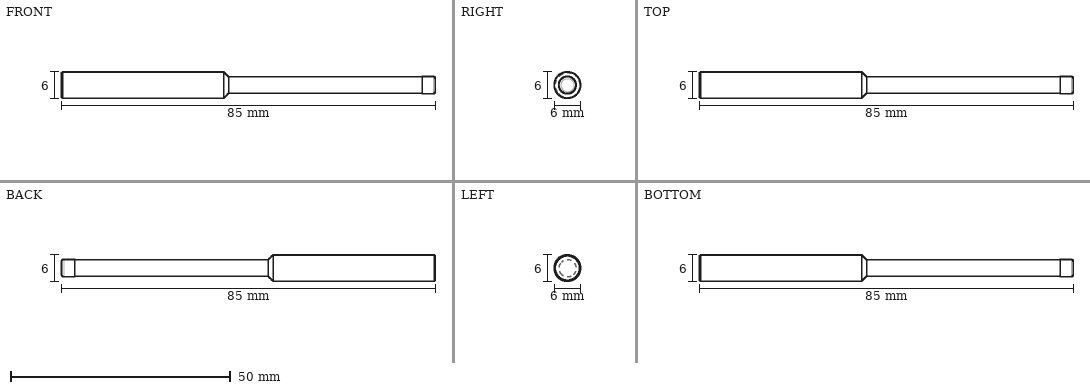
import cadquery as cq

total_length = 85.0
shank_diameter = 6.0
cutter_diameter = 4.0
neck_diameter = 3.8
cutter_length = 3.0
corner_radius = 0.5
back_chamfer = 0.25
shank_length = 36.9

shank_radius = shank_diameter / 2
cutter_radius = cutter_diameter / 2
neck_radius = neck_diameter / 2
taper_length = shank_radius - neck_radius

back_x = -total_length / 2
tip_x = total_length / 2
taper_start_x = back_x + shank_length
taper_end_x = taper_start_x + taper_length
cutter_start_x = tip_x - cutter_length


def make_holder():
    """Back-chamfered shank, taper and slender neck turned as one body about the X axis."""
    return (
        cq.Workplane("XZ")
        .moveTo(back_x, 0)
        .lineTo(back_x, shank_radius - back_chamfer)
        .lineTo(back_x + back_chamfer, shank_radius)
        .lineTo(taper_start_x, shank_radius)
        .lineTo(taper_end_x, neck_radius)
        .lineTo(cutter_start_x, neck_radius)
        .lineTo(cutter_start_x, 0)
        .close()
        .revolve(360, (0, 0, 0), (1, 0, 0))
    )


def make_cutter():
    """Cutting head on the end of the neck, with a rounded front corner."""
    return (
        cq.Workplane("XZ")
        .moveTo(cutter_start_x, 0)
        .lineTo(cutter_start_x, cutter_radius)
        .lineTo(tip_x - corner_radius, cutter_radius)
        .radiusArc((tip_x, cutter_radius - corner_radius), corner_radius)
        .lineTo(tip_x, 0)
        .close()
        .revolve(360, (0, 0, 0), (1, 0, 0))
    )


holder = make_holder()
cutter = make_cutter()

result = cq.Compound.makeCompound([holder.val(), cutter.val()])